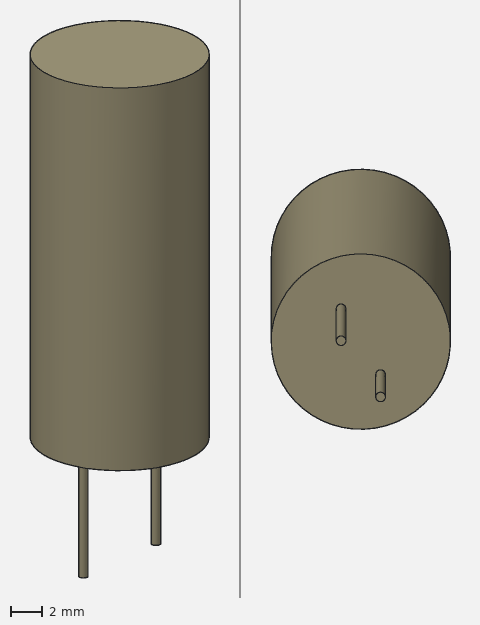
import cadquery as cq

overall_height = 36.5
can_diameter = 11.5
long_lead_length = 10.0
short_lead_length = 7.0
lead_diameter = 0.62
lead_pitch = 5.0

can_height = overall_height - long_lead_length


def make_can():
    """Plain cylindrical can standing on Z = 0."""
    return cq.Workplane("XY").circle(can_diameter / 2).extrude(can_height)


def make_lead(x_position, length):
    """Round wire lead hanging straight down from the underside of the can."""
    return cq.Workplane("XY").center(x_position, 0).circle(lead_diameter / 2).extrude(-length)


can = make_can()

lead_layout = [
    (-lead_pitch / 2, long_lead_length),
    (lead_pitch / 2, short_lead_length),
]
leads = [make_lead(x_position, length) for x_position, length in lead_layout]

result = cq.Compound.makeCompound([can.val(), *[lead.val() for lead in leads]])